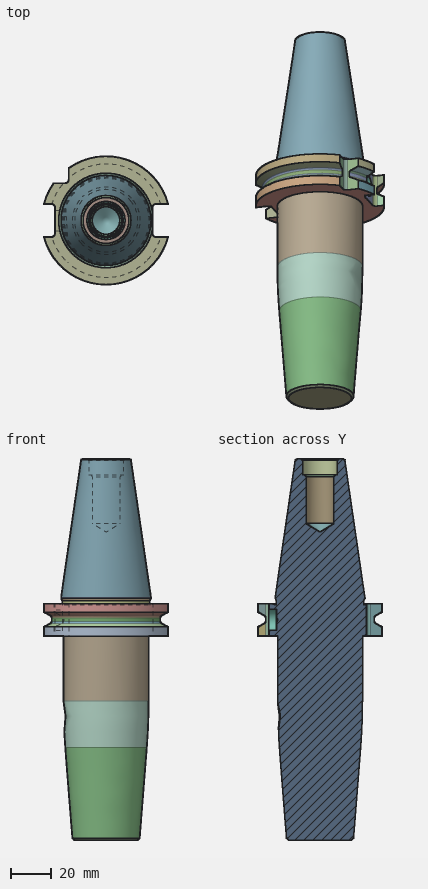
import cadquery as cq
import math

total_length = 188.4
gauge_z = 120.0
gauge_radius = 22.2
taper_ratio = 7 / 24
taper_tip_chamfer = 1.0
taper_tip_chamfer_height = 0.5

gauge_band_height = 0.5
neck_radius = 21.7
neck_top_z = 118.3
relief_radius = 23.4
relief_depth = 0.5

flange_radius = 31.75
flange_top_z = 116.8
flange_bottom_z = 100.8
groove_top_z = 112.7
groove_bottom_z = 105.3
groove_floor_radius = 28.0
groove_fillet_radius = 1.1
groove_flank_angle = math.radians(30)

body_radius = 21.1
blend_top_z = 69.0
blend_bottom_z = 46.0
cone_angle = math.radians(4.5)
nose_chamfer = 1.1

slot_half_width = 8.1
left_slot_floor_x = -25.2
right_slot_floor_x = 23.0
notch_x = -18.5
notch_y = 18.5
corner_radius = 1.7

side_hole_radius = 5.0
side_hole_depth = 3.8
centre_mark_radius = 0.28
centre_mark_depth = 0.5

mouth_radius = 9.5
bore_radius = 8.5
bore_depth = 8.0
step_radius = 7.7
pilot_radius = 6.8
pilot_depth = 32.0
drill_point_angle = math.radians(59)


def make_body():
    """Revolve the outer outline of the holder."""
    tip_radius = gauge_radius - (total_length - gauge_z) * taper_ratio / 2
    flank_height = (flange_radius - groove_floor_radius) * math.tan(groove_flank_angle)

    blend_radius = (blend_top_z - blend_bottom_z) / math.sin(cone_angle)
    blend_end_radius = body_radius - blend_radius * (1 - math.cos(cone_angle))
    blend_mid = (
        body_radius - blend_radius * (1 - math.cos(cone_angle / 2)),
        blend_top_z - blend_radius * math.sin(cone_angle / 2),
    )
    nose_radius = blend_end_radius - (blend_bottom_z - nose_chamfer) * math.tan(cone_angle)

    outline = (
        cq.Workplane("XZ")
        .moveTo(0, total_length)
        .lineTo(tip_radius - taper_tip_chamfer, total_length)
        .lineTo(
            tip_radius + taper_tip_chamfer_height * taper_ratio / 2,
            total_length - taper_tip_chamfer_height,
        )
        .lineTo(gauge_radius, gauge_z)
        .lineTo(gauge_radius, gauge_z - gauge_band_height)
        .lineTo(neck_radius, neck_top_z)
        .lineTo(neck_radius, flange_top_z - relief_depth)
        .lineTo(relief_radius, flange_top_z)
        .lineTo(flange_radius, flange_top_z)
        .lineTo(flange_radius, groove_top_z)
        .lineTo(groove_floor_radius, groove_top_z - flank_height)
        .lineTo(groove_floor_radius, groove_bottom_z + flank_height)
        .lineTo(flange_radius, groove_bottom_z)
        .lineTo(flange_radius, flange_bottom_z)
        .lineTo(body_radius, flange_bottom_z)
        .lineTo(body_radius, blend_top_z)
        .threePointArc(blend_mid, (blend_end_radius, blend_bottom_z))
        .lineTo(nose_radius, nose_chamfer)
        .lineTo(nose_radius - nose_chamfer, 0)
        .lineTo(0, 0)
        .close()
    )
    body = outline.revolve(360, (0, 0, 0), (0, 1, 0))
    groove_corners = cq.selectors.BoxSelector(
        (-flange_radius, -flange_radius, groove_bottom_z + flank_height / 2),
        (flange_radius, flange_radius, groove_top_z - flank_height / 2),
    )
    floor_circles = body.edges(groove_corners).edges("%CIRCLE")
    return floor_circles.fillet(groove_fillet_radius)


def flange_cutter(inner_x, outer_x, low_y, high_y, rounded_edges):
    """Box through the flange height with its inner vertical corners rounded."""
    return (
        cq.Workplane("XY", origin=(0, 0, flange_bottom_z))
        .moveTo(inner_x, low_y)
        .lineTo(outer_x, low_y)
        .lineTo(outer_x, high_y)
        .lineTo(inner_x, high_y)
        .close()
        .extrude(flange_top_z - flange_bottom_z)
        .edges(rounded_edges)
        .fillet(corner_radius)
    )


def drive_slot(floor_x):
    """Drive slot running outward from its floor."""
    outer_x = math.copysign(flange_radius, floor_x)
    inner_side = "<X" if floor_x > 0 else ">X"
    return flange_cutter(
        floor_x, outer_x, -slot_half_width, slot_half_width, f"|Z and {inner_side}"
    )


def orientation_notch():
    """Corner notch on the -X, +Y side of the flange."""
    return flange_cutter(notch_x, -flange_radius, notch_y, flange_radius, "|Z and >X and <Y")


def side_hole():
    """Flat-bottomed hole with a centre mark, entering the left slot floor."""
    hole_z = (flange_top_z + flange_bottom_z) / 2
    plane = cq.Workplane("YZ", origin=(left_slot_floor_x, 0, hole_z))
    hole = plane.circle(side_hole_radius).extrude(side_hole_depth)
    mark = plane.circle(centre_mark_radius).extrude(side_hole_depth + centre_mark_depth)
    return hole.union(mark)


def stepped_bore():
    """Countersunk bore stepping down to a pilot hole with a drill point."""
    step_z = total_length - bore_depth
    pilot_z = total_length - pilot_depth
    point_z = pilot_z - pilot_radius / math.tan(drill_point_angle)
    return (
        cq.Workplane("XZ")
        .moveTo(0, total_length)
        .lineTo(mouth_radius, total_length)
        .lineTo(bore_radius, total_length - (mouth_radius - bore_radius))
        .lineTo(bore_radius, step_z)
        .lineTo(step_radius, step_z)
        .lineTo(pilot_radius, step_z - (step_radius - pilot_radius))
        .lineTo(pilot_radius, pilot_z)
        .lineTo(0, point_z)
        .close()
        .revolve(360, (0, 0, 0), (0, 1, 0))
    )


result = make_body()
for slot_floor_x in (left_slot_floor_x, right_slot_floor_x):
    result = result.cut(drive_slot(slot_floor_x))
result = result.cut(orientation_notch()).cut(side_hole()).cut(stepped_bore())